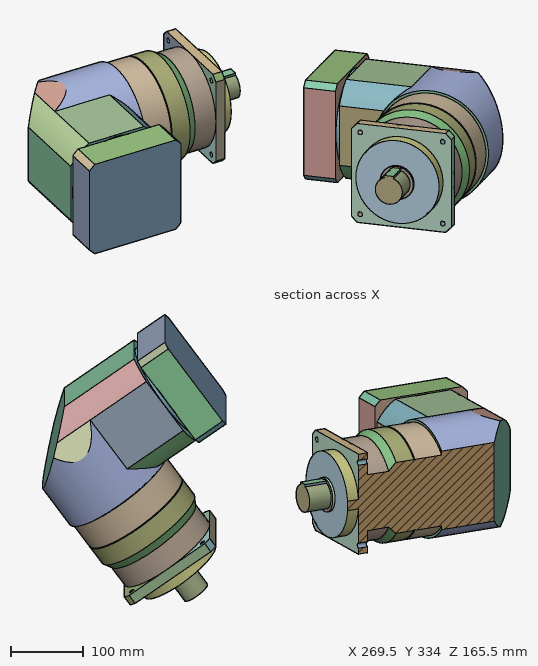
import cadquery as cq
import math

square = 144.5
half_square = square / 2
input_y = half_square

housing_dia = 165.5
housing_end = 149.7
gear_case_dia = 158.0
gear_case_end = 221.0
taper_end = 232.5
flange_start = 265.3
flange_end = 279.5
pilot_dia = 120.5
pilot_end = 296.7
collar_dia = 48.0
collar_end = 300.5
shaft_dia = 39.0
shaft_end = 334.0
key_width = 13.5
key_top = 21.7

groove_y = 192.0
groove_width = 1.0
groove_depth = 0.7

flange_flat = 128.0
bolt_dia = 6.7
bolt_offset = 59.8

block_start = -33.5
block_end = 135.0
block_flat = 87.0
neck_dia = 140.0
neck_end = 140.5
overall_x = 269.5
input_flange_end = overall_x - housing_dia / 2

elbow_left_y = 87.0
elbow_bottom_x = 17.0
relief_end = 65.8


def step(diameter, start, end):
    """Cylinder on the output axis between two Y positions."""
    return cq.Workplane("XZ", origin=(0, start, 0)).circle(diameter / 2).extrude(start - end)


def turned_square(base, flat, length):
    """Square bar whose corners are turned round, leaving flats of the given width."""
    corner_radius = math.hypot(half_square, flat / 2)
    return base.rect(square, square).extrude(length).intersect(base.circle(corner_radius).extrude(length))


def round_housing():
    """Housing cylinder with sloped reliefs above and below its closed end."""
    start = input_y - block_flat / 2
    housing = step(housing_dia, start, housing_end)
    crown = housing_dia / 2
    for side in (1, -1):
        relief = (
            cq.Workplane("YZ")
            .polyline([
                (start, side * half_square),
                (relief_end, side * crown),
                (start, side * crown),
            ])
            .close()
            .extrude(crown, both=True)
        )
        housing = housing.cut(relief)
    return housing


def input_block():
    """Bar on the input axis, running from inside the housing to the neck."""
    base = cq.Workplane("YZ", origin=(block_start, input_y, 0))
    return turned_square(base, block_flat, block_end - block_start)


def elbow_cut():
    """Corner wedge that leaves the slanted face of the elbow."""
    left_x = -housing_dia / 2
    slope = elbow_left_y / (elbow_bottom_x - left_x)
    margin = 16.7
    return (
        cq.Workplane("XY")
        .polyline([
            (left_x - margin, elbow_left_y + margin * slope),
            (elbow_bottom_x + margin, -margin * slope),
            (left_x - margin, -margin * slope),
        ])
        .close()
        .extrude(housing_dia, both=True)
    )


def gear_case():
    """Stepped case with a conical shoulder and a seam groove."""
    case_radius = gear_case_dia / 2
    groove_start = groove_y - groove_width / 2
    groove_end = groove_y + groove_width / 2
    return (
        cq.Workplane("XY")
        .polyline([
            (0, housing_end),
            (case_radius, housing_end),
            (case_radius, groove_start),
            (case_radius - groove_depth, groove_start),
            (case_radius - groove_depth, groove_end),
            (case_radius, groove_end),
            (case_radius, gear_case_end),
            (half_square, taper_end),
            (half_square, flange_start),
            (0, flange_start),
        ])
        .close()
        .revolve(360, (0, 0), (0, 1))
    )


def output_flange():
    """Mounting flange with four bolt holes."""
    thickness = flange_end - flange_start
    base = cq.Workplane("XZ", origin=(0, flange_end, 0))
    holes = (
        base
        .rect(2 * bolt_offset, 2 * bolt_offset, forConstruction=True)
        .vertices()
        .circle(bolt_dia / 2)
        .extrude(thickness)
    )
    return turned_square(base, flange_flat, thickness).cut(holes)


def output_shaft():
    """Pilot, collar and keyed shaft."""
    length = shaft_end - collar_end
    key = cq.Workplane("XY").box(key_width, length, key_top, centered=(True, False, False))
    return (
        step(pilot_dia, flange_end, pilot_end)
        .union(step(collar_dia, pilot_end, collar_end))
        .union(step(shaft_dia, collar_end, shaft_end))
        .union(key.translate((0, collar_end, 0)))
    )


def input_adapter():
    """Round neck and square motor flange."""
    neck = (
        cq.Workplane("YZ", origin=(block_end, input_y, 0))
        .circle(neck_dia / 2)
        .extrude(neck_end - block_end)
    )
    flange_base = cq.Workplane("YZ", origin=(neck_end, input_y, 0))
    return neck.union(turned_square(flange_base, flange_flat, input_flange_end - neck_end))


elbow = round_housing().union(input_block()).cut(elbow_cut())
result = (
    elbow
    .union(gear_case())
    .union(output_flange())
    .union(output_shaft())
    .union(input_adapter())
)